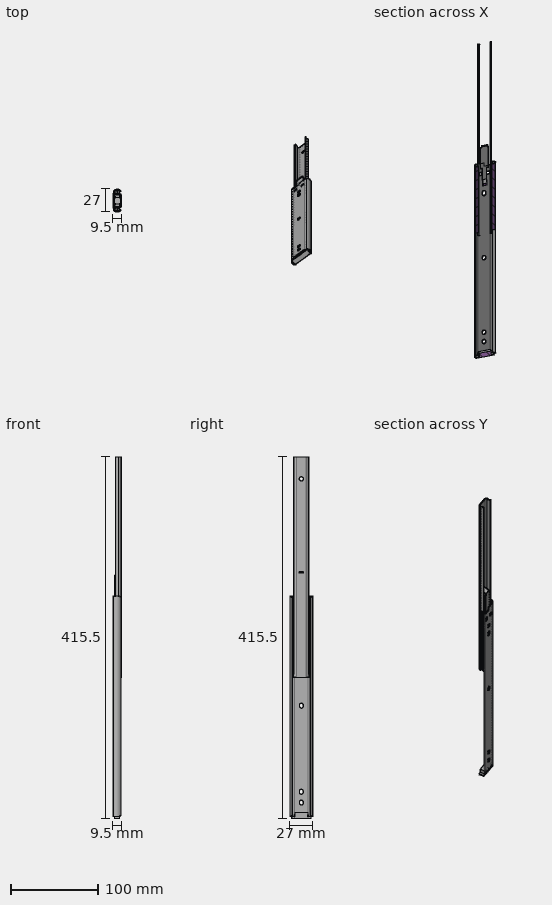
import cadquery as cq
import math

OVERALL_LENGTH = 415.5
OVERALL_DEPTH = 9.5
WALL = 1.2

OUTER_BOTTOM = 2.0
OUTER_TOP = 255.5
OUTER_FLAT_HALF = 8.0
OUTER_SHOULDER_HALF = 11.0
SIDE_RADIUS = 5.0
SIDE_CENTRE_X = 4.8
SIDE_CENTRE_Y = 8.5
OUTER_HALF_WIDTH = SIDE_CENTRE_Y + SIDE_RADIUS
LIP_ANGLE = 30.0
LIP_CHAMFER = 1.5
WEB_CUTBACK = 2.0
NOTCH_DEPTH = 4.0

INNER_LENGTH = OUTER_TOP - OUTER_BOTTOM
INNER_BOTTOM = OVERALL_LENGTH - INNER_LENGTH
INNER_HALF_WIDTH = 8.7
INNER_FRONT = 2.5
INNER_BEND_RADIUS = 1.2
INNER_WEB_FRONT = OVERALL_DEPTH - WALL
GROOVE_WIDTH = 3.7
GROOVE_DEPTH = 1.05
GROOVE_CENTRE_X = INNER_FRONT + GROOVE_WIDTH / 2
GROOVE_END_X = INNER_FRONT + GROOVE_WIDTH
INNER_BACK_RADIUS = OVERALL_DEPTH - GROOVE_END_X
WINDOW_WIDTH = 5.0
WINDOW_HEIGHT = 1.2
WINDOW_GAP = 0.5

SLOT_WIDTH = 4.0
SLOT_HEIGHT = 5.5
SLOT_LEVELS = [18.3, 30.8, 129.5]
SQUARE_HOLE = 3.7
SQUARE_PAIR_LEVEL = 241.5
SQUARE_PAIR_OFFSET = 5.0
SQUARE_SINGLE_LEVEL = 227.5
RIVET_LEVEL = 215.3
RIVET_SLOT_HEIGHT = 6.5
RIVET_HOLE = 2.5
INNER_HOLE_DIAMETER = 4.5
INNER_HOLE_LEVEL = 390.2

LATCH_THICKNESS = 1.05
LATCH_FRONT = 1.45
LATCH_NARROW_HALF = 2.5
LATCH_HEAD_HALF = 3.55
LATCH_WIDE_HALF = 4.8
LATCH_BOTTOM = 210.0
LATCH_FOOT_TOP = 221.0
LATCH_LEAF_BOTTOM = 233.5
LATCH_WIDE_BOTTOM = 249.5
LATCH_WIDE_TOP = 276.8
LATCH_LEAF_TOP = 279.3
LATCH_TOP = 281.8

BUMPER_HALF_WIDTH = 11.2
BUMPER_FRONT = 1.2
BUMPER_BACK = 7.5
BUMPER_TOP = 6.5
BUMPER_PLUG_HALF = 7.5
BEVEL_HALF_WIDTH = 6.2
BEVEL_DEPTH = 1.2

RETAINER_THICKNESS = 1.5
RETAINER_INNER_Y = 8.5
RETAINER_OUTER_Y = 11.5
RETAINER_BOTTOM = 166.2
RETAINER_TOP = 254.5


def side_point(radius, angle):
    """Point on a circle about the centre of the rounded side, at an angle from +X."""
    turn = math.radians(angle)
    return (SIDE_CENTRE_X + radius * math.cos(turn), SIDE_CENTRE_Y + radius * math.sin(turn))


def extrude_symmetric(half_profile, bottom, length):
    """Solid whose section is the given half profile and its mirror image across Y = 0."""
    half = half_profile.close().extrude(length)
    return half.union(half.mirror("XZ")).clean().translate((0, 0, bottom))


def cross_cutter(width, height, y, z):
    """Rectangular cutter running along X through the whole slide."""
    return cq.Workplane("XY").box(2 * OVERALL_DEPTH, width, height).translate((0, y, z))


def oblong_cutter(width, height, z):
    """Round-ended upright cutter running along X through the whole slide."""
    return cq.Workplane("YZ").center(0, z).slot2D(height, width, 90).extrude(OVERALL_DEPTH, both=True)


def round_cutter(diameter, z):
    """Round cutter running along X through the whole slide."""
    return cq.Workplane("YZ").center(0, z).circle(diameter / 2).extrude(OVERALL_DEPTH, both=True)


def make_outer_rail():
    inner_radius = SIDE_RADIUS - WALL
    outer_start = 180 - math.degrees(math.asin((OUTER_SHOULDER_HALF - SIDE_CENTRE_Y) / SIDE_RADIUS))
    half_profile = (
        cq.Workplane("XY")
        .moveTo(0, 0)
        .lineTo(0, OUTER_FLAT_HALF)
        .lineTo(*side_point(SIDE_RADIUS, outer_start))
        .threePointArc(side_point(SIDE_RADIUS, 90), side_point(SIDE_RADIUS, LIP_ANGLE))
        .lineTo(*side_point(inner_radius, LIP_ANGLE))
        .threePointArc(side_point(inner_radius, 90), side_point(inner_radius, outer_start))
        .lineTo(WALL, OUTER_FLAT_HALF)
        .lineTo(WALL, 0)
    )
    length = OUTER_TOP - OUTER_BOTTOM
    rail = extrude_symmetric(half_profile, OUTER_BOTTOM, length)

    lip_x = side_point(SIDE_RADIUS, LIP_ANGLE)[0]
    for end, inward in [(OUTER_BOTTOM, 1), (OUTER_TOP, -1)]:
        corner = [(lip_x, end), (lip_x - LIP_CHAMFER, end), (lip_x, end + inward * LIP_CHAMFER)]
        wedge = cq.Workplane("XZ").polyline(corner).close().extrude(OUTER_HALF_WIDTH, both=True)
        rail = rail.cut(wedge)

    rail = rail.cut(cross_cutter(2 * OUTER_FLAT_HALF, 2 * WEB_CUTBACK, 0, OUTER_BOTTOM))
    rail = rail.cut(cross_cutter(OUTER_FLAT_HALF, 2 * NOTCH_DEPTH, OUTER_FLAT_HALF / 2, OUTER_TOP))

    for level in SLOT_LEVELS:
        rail = rail.cut(oblong_cutter(SLOT_WIDTH, SLOT_HEIGHT, level))
    for y in (-SQUARE_PAIR_OFFSET, SQUARE_PAIR_OFFSET):
        rail = rail.cut(cross_cutter(SQUARE_HOLE, SQUARE_HOLE, y, SQUARE_PAIR_LEVEL))
    rail = rail.cut(cross_cutter(SQUARE_HOLE, SQUARE_HOLE, 0, SQUARE_SINGLE_LEVEL))
    return rail.cut(oblong_cutter(SLOT_WIDTH, RIVET_SLOT_HEIGHT, RIVET_LEVEL))


def make_inner_rail():
    groove_floor = INNER_HALF_WIDTH - GROOVE_DEPTH
    groove_radius = ((GROOVE_WIDTH / 2) ** 2 + GROOVE_DEPTH**2) / (2 * GROOVE_DEPTH)
    back_radius = groove_radius + WALL
    groove_centre_y = groove_floor + groove_radius
    back_edge = groove_centre_y - math.sqrt(back_radius**2 - (GROOVE_WIDTH / 2) ** 2)
    diagonal = math.sqrt(0.5)
    inside_x = INNER_WEB_FRONT - INNER_BEND_RADIUS
    corner_y = INNER_HALF_WIDTH - INNER_BACK_RADIUS
    inside_y = back_edge - INNER_BEND_RADIUS
    half_profile = (
        cq.Workplane("XY")
        .moveTo(OVERALL_DEPTH, 0)
        .lineTo(OVERALL_DEPTH, corner_y)
        .threePointArc(
            (GROOVE_END_X + diagonal * INNER_BACK_RADIUS, corner_y + diagonal * INNER_BACK_RADIUS),
            (GROOVE_END_X, INNER_HALF_WIDTH),
        )
        .threePointArc((GROOVE_CENTRE_X, groove_floor), (INNER_FRONT, INNER_HALF_WIDTH))
        .lineTo(INNER_FRONT, back_edge)
        .threePointArc((GROOVE_CENTRE_X, groove_floor - WALL), (GROOVE_END_X, back_edge))
        .lineTo(inside_x, back_edge)
        .threePointArc(
            (inside_x + diagonal * INNER_BEND_RADIUS, inside_y + diagonal * INNER_BEND_RADIUS),
            (INNER_WEB_FRONT, inside_y),
        )
        .lineTo(INNER_WEB_FRONT, 0)
    )
    rail = extrude_symmetric(half_profile, INNER_BOTTOM, INNER_LENGTH)
    rail = rail.cut(round_cutter(INNER_HOLE_DIAMETER, INNER_HOLE_LEVEL))
    window_level = LATCH_TOP + WINDOW_GAP + WINDOW_HEIGHT / 2
    return rail.cut(cross_cutter(WINDOW_WIDTH, WINDOW_HEIGHT, 0, window_level))


def make_latch():
    back = LATCH_FRONT + LATCH_THICKNESS
    foot_front = INNER_WEB_FRONT - LATCH_THICKNESS
    side_profile = [
        (INNER_WEB_FRONT, LATCH_BOTTOM),
        (foot_front, LATCH_BOTTOM),
        (foot_front, LATCH_FOOT_TOP),
        (LATCH_FRONT, LATCH_LEAF_BOTTOM),
        (LATCH_FRONT, LATCH_LEAF_TOP),
        (INNER_WEB_FRONT, LATCH_TOP),
        (INNER_WEB_FRONT, LATCH_TOP - LATCH_THICKNESS),
        (back, LATCH_LEAF_TOP - LATCH_THICKNESS),
        (back, LATCH_LEAF_BOTTOM + LATCH_THICKNESS),
        (INNER_WEB_FRONT, LATCH_FOOT_TOP + LATCH_THICKNESS),
    ]
    strip = cq.Workplane("XZ").polyline(side_profile).close().extrude(LATCH_WIDE_HALF, both=True)
    outline = [
        (LATCH_NARROW_HALF, LATCH_BOTTOM),
        (LATCH_NARROW_HALF, LATCH_WIDE_BOTTOM),
        (LATCH_WIDE_HALF, LATCH_WIDE_BOTTOM),
        (LATCH_WIDE_HALF, LATCH_WIDE_TOP),
        (LATCH_HEAD_HALF, LATCH_WIDE_TOP),
        (LATCH_HEAD_HALF, LATCH_TOP),
    ]
    mirrored = [(-y, z) for y, z in reversed(outline)]
    blank = cq.Workplane("YZ").polyline(outline + mirrored).close().extrude(OVERALL_DEPTH)
    return strip.intersect(blank).cut(round_cutter(RIVET_HOLE, RIVET_LEVEL))


def make_bumper():
    cap = cq.Workplane("XY").box(
        BUMPER_BACK - BUMPER_FRONT, 2 * BUMPER_HALF_WIDTH, OUTER_BOTTOM, centered=(False, True, False)
    )
    plug = cq.Workplane("XY").box(
        BUMPER_BACK - BUMPER_FRONT, 2 * BUMPER_PLUG_HALF, BUMPER_TOP, centered=(False, True, False)
    )
    body = cap.union(plug).clean().translate((BUMPER_FRONT, 0, 0))

    recess = [
        (BUMPER_FRONT, OUTER_BOTTOM),
        (BUMPER_FRONT + BEVEL_DEPTH, OUTER_BOTTOM),
        (BUMPER_FRONT, OUTER_BOTTOM + WEB_CUTBACK),
    ]
    return body.cut(cq.Workplane("XZ").polyline(recess).close().extrude(BEVEL_HALF_WIDTH, both=True))


def make_retainer(side):
    """Retainer strip on the +Y side (side = 1) or the -Y side (side = -1)."""
    width = RETAINER_OUTER_Y - RETAINER_INNER_Y
    middle = (RETAINER_OUTER_Y + RETAINER_INNER_Y) / 2
    strip = cq.Workplane("XY").box(
        RETAINER_THICKNESS, width, RETAINER_TOP - RETAINER_BOTTOM, centered=(True, True, False)
    )
    return strip.translate((GROOVE_CENTRE_X, side * middle, RETAINER_BOTTOM))


outer_rail = make_outer_rail()
inner_rail = make_inner_rail()
latch = make_latch()
bumper = make_bumper()
retainers = [make_retainer(side) for side in (-1, 1)]

result = cq.Compound.makeCompound(
    [outer_rail.val(), inner_rail.val(), latch.val(), bumper.val(), *[strip.val() for strip in retainers]]
)